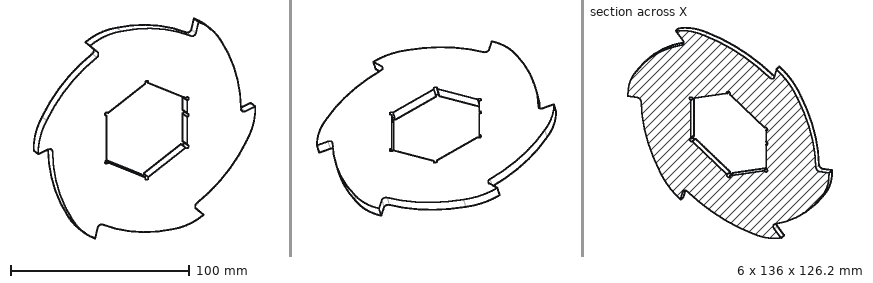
import cadquery as cq
import math

thickness = 6.0
tooth_count = 6
tooth_pitch = 360 / tooth_count

tip_radius = 68
tip_angle = 1.6
shoulder_radius = 65.1
shoulder_angle = -15.7
root_radius = 59.0
root_angle = -0.6
nose_arc_radius = 34.9
back_arc_radius = 86.5
root_fillet = 2.0

bore_across_flats = 50.3
bore_corner_radius = bore_across_flats / math.sqrt(3)
relief_radius = 1.0
mark_height = 4.5


def polar(radius, angle):
    """Point in the YZ plane at an angle in degrees."""
    turn = math.radians(angle)
    return radius * math.cos(turn), radius * math.sin(turn)


def toothed_disc():
    outline = cq.Workplane("YZ", origin=(-thickness / 2, 0, 0)).moveTo(*polar(tip_radius, tip_angle))
    for tooth in range(tooth_count):
        start = -tooth * tooth_pitch
        following = start - tooth_pitch
        outline = outline.radiusArc(polar(shoulder_radius, start + shoulder_angle), nose_arc_radius)
        outline = outline.radiusArc(polar(root_radius, following + root_angle), back_arc_radius)
        if tooth < tooth_count - 1:
            outline = outline.lineTo(*polar(tip_radius, following + tip_angle))
    return outline.close().extrude(thickness)


def round_tooth_roots(disc):
    for tooth in range(tooth_count):
        y, z = polar(root_radius, root_angle - tooth * tooth_pitch)
        root_edge = cq.selectors.NearestToPointSelector((0, y, z))
        disc = disc.edges("|X").edges(root_edge).fillet(root_fillet)
    return disc


def bore():
    corners = [polar(bore_corner_radius, 30 + 60 * corner) for corner in range(6)]
    plane = cq.Workplane("YZ", origin=(-thickness / 2, 0, 0))
    hexagon = plane.polyline(corners).close().extrude(thickness)
    mark = (bore_across_flats / 2, mark_height)
    reliefs = plane.pushPoints(corners + [mark]).circle(relief_radius).extrude(thickness)
    return hexagon.union(reliefs)


result = round_tooth_roots(toothed_disc()).cut(bore())